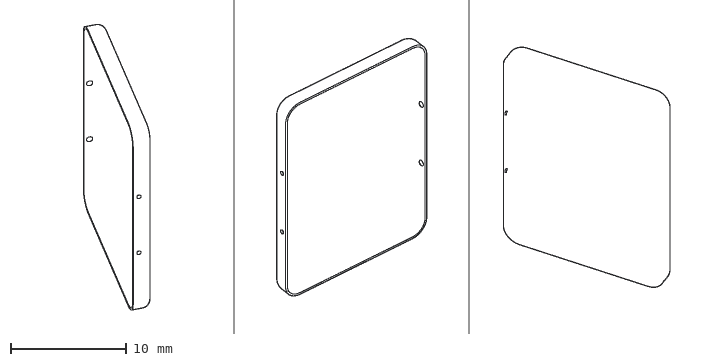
import cadquery as cq
import math

width = 15.7
depth = 1.7
height = 21.3

wall = 0.2
corner_radius = 1.6
outer_edge_radius = 0.7
inner_edge_radius = outer_edge_radius - wall

dimple_spacing = 6.5
dimple_setback = 0.51
dimple_radius = 0.2
dimple_depth = 0.15
bump_radius = 0.28
bump_height = 0.15


def rounded_block(inset, edge_radius):
    """Block inset from the outer skin, open-rim face at y = 0, back edges rounded."""
    return (
        cq.Workplane("XZ")
        .rect(width - 2 * inset, height - 2 * inset)
        .extrude(-(depth - inset))
        .edges("|Y")
        .fillet(corner_radius - inset)
        .faces(">Y")
        .edges()
        .fillet(edge_radius)
    )


def spherical_cap(wall_x, z, base_radius, cap_height):
    """Cap standing on the left wall plane x = -wall_x and rising toward +X."""
    sphere_radius = (base_radius**2 + cap_height**2) / (2 * cap_height)
    half_angle = math.asin(base_radius / sphere_radius) / 2
    arc_middle = (
        cap_height - sphere_radius * (1 - math.cos(half_angle)),
        sphere_radius * math.sin(half_angle),
    )
    return (
        cq.Workplane("XY")
        .moveTo(0, 0)
        .lineTo(0, base_radius)
        .threePointArc(arc_middle, (cap_height, 0))
        .close()
        .revolve(360, (0, 0), (1, 0))
        .translate((-wall_x, dimple_setback, z))
    )


outer = rounded_block(0, outer_edge_radius)
cavity = rounded_block(wall, inner_edge_radius)
result = outer.cut(cavity)

for z in (-dimple_spacing / 2, dimple_spacing / 2):
    bump = spherical_cap(width / 2 - wall, z, bump_radius, bump_height)
    hollow = spherical_cap(width / 2, z, dimple_radius, dimple_depth)
    result = result.union(bump).union(bump.mirror("YZ"))
    result = result.cut(hollow).cut(hollow.mirror("YZ"))

result = result.translate((0, -depth / 2, 0))